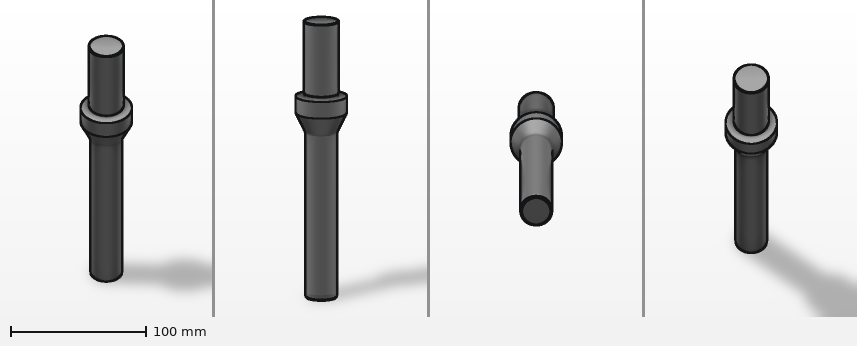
import cadquery as cq
import math

total_height = 210.8
collar_top = 153.5
collar_height = 12.6
collar_bottom = collar_top - collar_height
cone_bottom = 126.7
blend_height = 1.3
lead_in_height = 4.5
tip_height = 1.3

shank_radius = 13.0
shank_chamfer = 0.6
neck_radius = 12.5
neck_length = 2.0
shank_lower_chamfer = shank_radius - neck_radius
neck_fillet = 0.6
collar_diameter = 38.2
collar_radius = collar_diameter / 2

guide_radius = 12.0
blend_radius = 12.2
lead_in_radius = 11.8
tip_radius = 10.5
cone_radius = collar_radius


def revolve_profile(profile):
    """Turn a closed (radius, height) outline about the Z axis."""
    return profile.close().revolve(360, (0, 0, 0), (0, 1, 0))


def make_shank_with_collar():
    """Upper pin with a relief neck, filleted at its foot, just above its collar."""
    neck_top = collar_top + neck_length
    fillet_inset = neck_fillet * (1 - math.sqrt(0.5))
    profile = (
        cq.Workplane("XZ")
        .moveTo(0, collar_bottom)
        .lineTo(collar_radius, collar_bottom)
        .lineTo(collar_radius, collar_top)
        .lineTo(neck_radius + neck_fillet, collar_top)
        .threePointArc(
            (neck_radius + fillet_inset, collar_top + fillet_inset),
            (neck_radius, collar_top + neck_fillet),
        )
        .lineTo(neck_radius, neck_top)
        .lineTo(shank_radius, neck_top + shank_lower_chamfer)
        .lineTo(shank_radius, total_height - shank_chamfer)
        .lineTo(shank_radius - shank_chamfer, total_height)
        .lineTo(0, total_height)
    )
    return revolve_profile(profile)


def make_cone_with_guide():
    """Lower guide rod that widens into a cone under the collar."""
    profile = cq.Workplane("XZ").polyline([
        (0, 0),
        (tip_radius, 0),
        (lead_in_radius, tip_height),
        (guide_radius, lead_in_height),
        (guide_radius, cone_bottom - blend_height),
        (blend_radius, cone_bottom),
        (cone_radius, collar_bottom),
        (0, collar_bottom),
    ])
    return revolve_profile(profile)


shank_with_collar = make_shank_with_collar()
cone_with_guide = make_cone_with_guide()

result = cq.Compound.makeCompound([shank_with_collar.val(), cone_with_guide.val()])